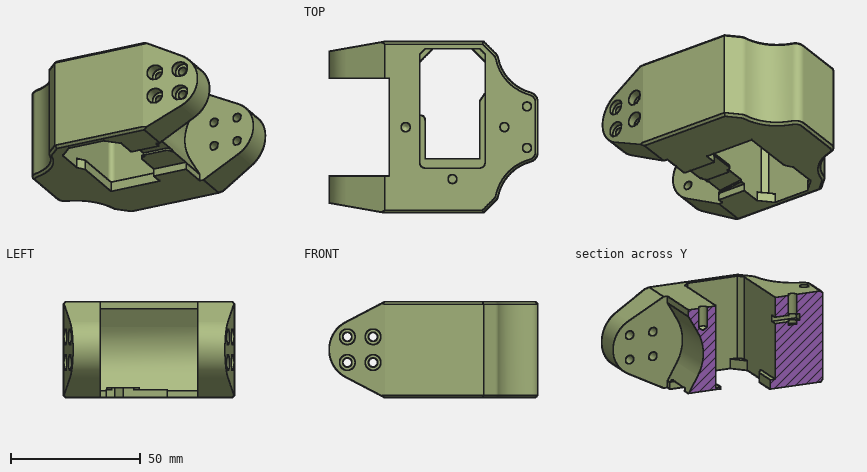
import cadquery as cq
import math


BODY_HEIGHT = 37.0
BODY_WIDTH = 66.0
BODY_END_X = 68.44
EDGE_CHAMFER = 1.0
HALF_HEIGHT = BODY_HEIGHT / 2
HALF_WIDTH = BODY_WIDTH / 2

SHOULDER_X = 47.5
SCALLOP_X = 70.0
SCALLOP_Y = 30.0
SCALLOP_RADIUS = 17.2
SHOULDER_FILLET = 4.0
NOSE_FILLET = 4.0

EAR_RADIUS = 12.0
EAR_ROOT_X = 9.5
EAR_TAPER_ANGLE = 10.0
EAR_GAP = 37.5
EAR_HOLE_CIRCLE_RADIUS = 7.0
EAR_HOLE_DIAMETER = 3.4
EAR_COUNTERBORE_DIAMETER = 6.0
EAR_COUNTERBORE_FLOOR_Y = 28.0

CLEARANCE_RADIUS = 17.5
CLEARANCE_TANGENT_ANGLE = 30.0
GAP_WALL_X = 11.1

POCKET_X_MIN = 22.95
POCKET_X_MAX = 48.05
POCKET_Y_MIN = -15.75
POCKET_Y_MAX = 30.1
POCKET_CHAMFER = 2.0
POCKET_FILLET = 2.0
POCKET_FLOOR_THICKNESS = 3.9
POCKET_FLOOR_Z = POCKET_FLOOR_THICKNESS - HALF_HEIGHT
POCKET_CENTER_X = (POCKET_X_MIN + POCKET_X_MAX) / 2

LEDGE_WIDTH = 2.1
WINDOW_Y_MIN = -12.15
WINDOW_CORNER = 5.0
LEFT_LEDGE_END_Y = 4.65
LEFT_LEDGE_FILLET = 2.0
RIGHT_LEDGE_END_Y = 10.0
RIGHT_LEDGE_SLOPE_END_Y = 13.1

RECESS_Y_MIN = -7.1
RECESS_Y_MAX = 16.4
RECESS_DEPTH = 3.0
MOUTH_Y_MIN = 3.8
MOUTH_Y_MAX = 16.25
MOUTH_LIP = 0.6
TUNNEL_Y_MIN = 5.9
TUNNEL_Y_MAX = 14.4

SCREW_DIAMETER = 3.4
SCREW_DEPTH = 12.0
DRILLED_DIAMETER = 3.5
DRILLED_OFFSET = 18.0
DRILLED_X = POCKET_CENTER_X - DRILLED_OFFSET
DRILLED_DEPTH = 8.0
DRILL_TIP_ANGLE = 118.0
FRONT_SCREW_OFFSET = 20.0
FRONT_SCREW_X = POCKET_CENTER_X + FRONT_SCREW_OFFSET
SIDE_SCREW_Y = -FRONT_SCREW_OFFSET
NOSE_SCREW_X = 64.2
NOSE_SCREW_Y = 8.0

NUT_SLOT_WIDTH = 5.8
NUT_SLOT_HEIGHT = 2.4
NUT_SLOT_Z = 9.1

OVERSHOOT = 5.0
REAR_X = -EAR_RADIUS - OVERSHOOT


def box(x_range, y_range, z_range):
    """Axis-aligned box between the given limits."""
    size = [high - low for low, high in (x_range, y_range, z_range)]
    corner = (x_range[0], y_range[0], z_range[0])
    return cq.Workplane("XY").box(*size, centered=False).translate(corner)


def polar(radius, degrees):
    """Point at the given radius and angle from the origin."""
    angle = math.radians(degrees)
    return radius * math.cos(angle), radius * math.sin(angle)


def chamfered_body():
    """Plan outline of the body, extruded to full height and chamfered top and bottom."""

    shoulder_sum = SHOULDER_X + HALF_WIDTH
    gap_to_center = (SCALLOP_X + SCALLOP_Y - shoulder_sum) / 2
    half_chord = math.sqrt(SCALLOP_RADIUS**2 / 2 - gap_to_center**2)
    scallop_start_x = SCALLOP_X - gap_to_center - half_chord
    scallop_start = (scallop_start_x, shoulder_sum - scallop_start_x)

    nose_offset = SCALLOP_X - BODY_END_X
    nose_y = SCALLOP_Y - math.sqrt(SCALLOP_RADIUS**2 - nose_offset**2)
    scallop_mid = (
        SCALLOP_X - SCALLOP_RADIUS * math.sqrt(0.5),
        SCALLOP_Y - SCALLOP_RADIUS * math.sqrt(0.5),
    )

    outline = (
        cq.Workplane("XY", origin=(0, 0, -HALF_HEIGHT))
        .moveTo(REAR_X, HALF_WIDTH)
        .lineTo(SHOULDER_X, HALF_WIDTH)
        .lineTo(*scallop_start)
        .threePointArc(scallop_mid, (BODY_END_X, nose_y))
        .lineTo(BODY_END_X, -nose_y)
        .threePointArc((scallop_mid[0], -scallop_mid[1]), (scallop_start[0], -scallop_start[1]))
        .lineTo(SHOULDER_X, -HALF_WIDTH)
        .lineTo(REAR_X, -HALF_WIDTH)
        .close()
    )
    body = outline.extrude(BODY_HEIGHT)
    for corner, radius in ((scallop_start, SHOULDER_FILLET), ((BODY_END_X, nose_y), NOSE_FILLET)):
        for y in (corner[1], -corner[1]):
            edge = cq.selectors.NearestToPointSelector((corner[0], y, 0))
            body = body.edges("|Z").edges(edge).fillet(radius)
    return body.faces("|Z").edges().chamfer(EDGE_CHAMFER)


def side_profile():
    """Side outline: a rectangle narrowing along tangents to the round ear tip."""
    root_distance = math.hypot(EAR_ROOT_X, HALF_HEIGHT)
    root_angle = math.degrees(math.atan2(HALF_HEIGHT, EAR_ROOT_X))
    tangent_angle = root_angle + math.degrees(math.acos(EAR_RADIUS / root_distance))
    tangent_x, tangent_z = polar(EAR_RADIUS, tangent_angle)
    end_x = BODY_END_X + OVERSHOOT
    return (
        cq.Workplane("XZ")
        .moveTo(end_x, HALF_HEIGHT)
        .lineTo(EAR_ROOT_X, HALF_HEIGHT)
        .lineTo(tangent_x, tangent_z)
        .threePointArc((-EAR_RADIUS, 0), (tangent_x, -tangent_z))
        .lineTo(EAR_ROOT_X, -HALF_HEIGHT)
        .lineTo(end_x, -HALF_HEIGHT)
        .close()
        .extrude(HALF_WIDTH + OVERSHOOT, both=True)
    )


def ear_taper(side):
    """Wedge that slopes the outer face of the ear on one side (+1 or -1 along Y)."""
    run = EAR_ROOT_X - REAR_X
    drop = run * math.tan(math.radians(EAR_TAPER_ANGLE))
    return (
        cq.Workplane("XY")
        .polyline(
            [
                (EAR_ROOT_X, side * HALF_WIDTH),
                (REAR_X, side * (HALF_WIDTH - drop)),
                (REAR_X, side * HALF_WIDTH),
            ]
        )
        .close()
        .extrude(HALF_HEIGHT, both=True)
    )


def ear_gap():
    """Space between the ears, hollowed by a round clearance with tangent flanks."""
    tangent_x, tangent_z = polar(CLEARANCE_RADIUS, CLEARANCE_TANGENT_ANGLE)
    flank_run = tangent_x - GAP_WALL_X
    flank_z = tangent_z + flank_run / math.tan(math.radians(CLEARANCE_TANGENT_ANGLE))
    top_z = HALF_HEIGHT + OVERSHOOT
    return (
        cq.Workplane("XZ")
        .moveTo(REAR_X, top_z)
        .lineTo(GAP_WALL_X, top_z)
        .lineTo(GAP_WALL_X, flank_z)
        .lineTo(tangent_x, tangent_z)
        .threePointArc((CLEARANCE_RADIUS, 0), (tangent_x, -tangent_z))
        .lineTo(GAP_WALL_X, -flank_z)
        .lineTo(GAP_WALL_X, -top_z)
        .lineTo(REAR_X, -top_z)
        .close()
        .extrude(EAR_GAP / 2, both=True)
    )


def ear_holes():
    """Four counterbored holes through each ear."""
    points = [polar(EAR_HOLE_CIRCLE_RADIUS, angle) for angle in (45, 135, 225, 315)]
    holes = cq.Workplane("XZ").pushPoints(points).circle(EAR_HOLE_DIAMETER / 2)
    cutter = holes.extrude(HALF_WIDTH, both=True)
    for side in (1, -1):
        bores = (
            cq.Workplane("XZ", origin=(0, side * EAR_COUNTERBORE_FLOOR_Y, 0))
            .pushPoints(points)
            .circle(EAR_COUNTERBORE_DIAMETER / 2)
            .extrude(-side * (HALF_WIDTH - EAR_COUNTERBORE_FLOOR_Y))
        )
        cutter = cutter.union(bores)
    return cutter


def pocket():
    """Rectangular pocket with chamfered +Y corners and rounded -Y corners."""
    return (
        box(
            (POCKET_X_MIN, POCKET_X_MAX),
            (POCKET_Y_MIN, POCKET_Y_MAX),
            (POCKET_FLOOR_Z, HALF_HEIGHT + OVERSHOOT),
        )
        .edges("|Z and >Y")
        .chamfer(POCKET_CHAMFER)
        .edges("|Z and <Y")
        .fillet(POCKET_FILLET)
    )


def floor_window():
    """Opening through the pocket floor, leaving ledges on three sides."""
    left_x = POCKET_X_MIN + LEDGE_WIDTH
    right_x = POCKET_X_MAX - LEDGE_WIDTH
    window = (
        cq.Workplane("XY", origin=(0, 0, -HALF_HEIGHT))
        .polyline(
            [
                (left_x, WINDOW_Y_MIN),
                (right_x, WINDOW_Y_MIN),
                (right_x, RIGHT_LEDGE_END_Y),
                (POCKET_X_MAX, RIGHT_LEDGE_SLOPE_END_Y),
                (POCKET_X_MAX, POCKET_Y_MAX - WINDOW_CORNER),
                (POCKET_X_MAX - WINDOW_CORNER, POCKET_Y_MAX),
                (POCKET_X_MIN + WINDOW_CORNER, POCKET_Y_MAX),
                (POCKET_X_MIN, POCKET_Y_MAX - WINDOW_CORNER),
                (POCKET_X_MIN, LEFT_LEDGE_END_Y),
                (left_x, LEFT_LEDGE_END_Y),
            ]
        )
        .close()
        .extrude(POCKET_FLOOR_THICKNESS)
    )
    ledge_corner = cq.selectors.NearestToPointSelector((left_x, LEFT_LEDGE_END_Y, POCKET_FLOOR_Z))
    return window.edges("|Z").edges(ledge_corner).fillet(LEFT_LEDGE_FILLET)


def cable_passage():
    """Bottom recess and a higher tunnel that join the ear gap to the floor window."""
    recess = box(
        (GAP_WALL_X - OVERSHOOT, POCKET_X_MIN + LEDGE_WIDTH),
        (RECESS_Y_MIN, RECESS_Y_MAX),
        (-HALF_HEIGHT - OVERSHOOT, RECESS_DEPTH - HALF_HEIGHT),
    )
    round_radius = TUNNEL_Y_MIN - MOUTH_Y_MIN
    round_mid_x, round_mid_y = polar(round_radius, 135)
    mouth_x = GAP_WALL_X + MOUTH_LIP
    round_end_x = mouth_x + round_radius
    tunnel = (
        cq.Workplane("XY", origin=(0, 0, -HALF_HEIGHT))
        .moveTo(GAP_WALL_X, MOUTH_Y_MIN)
        .lineTo(mouth_x, MOUTH_Y_MIN)
        .threePointArc((round_end_x + round_mid_x, MOUTH_Y_MIN + round_mid_y), (round_end_x, TUNNEL_Y_MIN))
        .lineTo(POCKET_X_MIN, TUNNEL_Y_MIN)
        .lineTo(POCKET_X_MIN, TUNNEL_Y_MAX)
        .lineTo(GAP_WALL_X, MOUTH_Y_MAX)
        .close()
        .extrude(POCKET_FLOOR_THICKNESS)
    )
    return recess.union(tunnel)


def screw_holes():
    """Flat-bottomed blind holes in the top face, and a drilled one between the ears and the pocket."""
    points = [
        (FRONT_SCREW_X, 0),
        (POCKET_CENTER_X, SIDE_SCREW_Y),
        (NOSE_SCREW_X, NOSE_SCREW_Y),
        (NOSE_SCREW_X, -NOSE_SCREW_Y),
    ]
    top = cq.Workplane("XY", origin=(0, 0, HALF_HEIGHT))
    holes = top.pushPoints(points).circle(SCREW_DIAMETER / 2).extrude(-SCREW_DEPTH)

    radius = DRILLED_DIAMETER / 2
    tip_depth = DRILLED_DEPTH + radius / math.tan(math.radians(DRILL_TIP_ANGLE / 2))
    drilled = (
        cq.Workplane("XZ", origin=(DRILLED_X, 0, HALF_HEIGHT))
        .polyline([(0, 0), (radius, 0), (radius, -DRILLED_DEPTH), (0, -tip_depth)])
        .close()
        .revolve(360, (0, 0, 0), (0, 1, 0))
    )
    return holes.union(drilled)


def nut_slot():
    """Flat slot in the +X pocket wall that lets a nut slide under the front screw."""
    return box(
        (POCKET_X_MAX, FRONT_SCREW_X + NUT_SLOT_WIDTH / 2),
        (-NUT_SLOT_WIDTH / 2, NUT_SLOT_WIDTH / 2),
        (NUT_SLOT_Z - NUT_SLOT_HEIGHT / 2, NUT_SLOT_Z + NUT_SLOT_HEIGHT / 2),
    )


result = chamfered_body().intersect(side_profile())
for ear_side in (1, -1):
    result = result.cut(ear_taper(ear_side))
result = result.cut(ear_gap()).cut(ear_holes())
result = result.cut(pocket()).cut(floor_window()).cut(cable_passage())
result = result.cut(screw_holes()).cut(nut_slot())